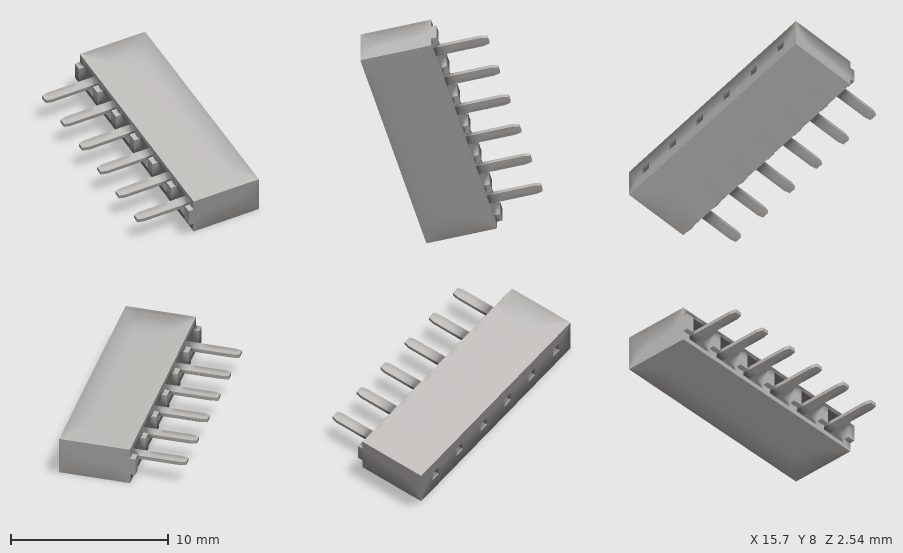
import cadquery as cq

contact_count = 6
pitch = 2.54
row_length = 15.74

housing_height = 2.54
housing_depth = 5.0
rib_depth = 0.35
rib_height = 1.2
pocket_size = 1.9
floor_thickness = 1.0
hole_size = 0.7

pin_width = 0.7
pin_thickness = 0.25
pin_projection = 3.0
pin_inner_length = 1.0
tip_length = 0.4
tip_width = 0.5

block_depth = housing_depth - rib_depth
pocket_depth = housing_depth - floor_thickness
first_pin_x = -pitch * (contact_count - 1) / 2
pin_positions = [(first_pin_x + i * pitch, 0) for i in range(contact_count)]


def box_from(start_y, size_x, size_y, size_z):
    """Box centred on X and Z that starts at start_y and extends towards +Y."""
    return (
        cq.Workplane("XY")
        .box(size_x, size_y, size_z, centered=(True, False, True))
        .translate((0, start_y, 0))
    )


def at_pins(shape):
    """Copies of the shape at every pin position."""
    return cq.Workplane("XY").pushPoints(pin_positions).eachpoint(lambda place: shape.val().moved(place))


def make_housing():
    """Block with an open pocket and a through hole behind it for each pin."""
    block = box_from(rib_depth, row_length, block_depth, housing_height)
    rib_bar = box_from(0, row_length, housing_depth, rib_height)
    pocket = box_from(0, pocket_size, pocket_depth, pocket_size)
    hole = box_from(pocket_depth, hole_size, floor_thickness, hole_size)
    return block.union(rib_bar).cut(at_pins(pocket)).cut(at_pins(hole))


def make_pin():
    """Flat pin from the narrowed tip to its square end inside the pocket."""
    tip_y = -pin_projection
    shoulder_y = tip_y + tip_length
    half_width = pin_width / 2
    half_tip = tip_width / 2
    outline = [
        (-half_tip, tip_y),
        (half_tip, tip_y),
        (half_width, shoulder_y),
        (half_width, pin_inner_length),
        (-half_width, pin_inner_length),
        (-half_width, shoulder_y),
    ]
    return cq.Workplane("XY").polyline(outline).close().extrude(pin_thickness / 2, both=True)


housing = make_housing()
pins = at_pins(make_pin())

result = cq.Compound.makeCompound([housing.val(), *pins.vals()])